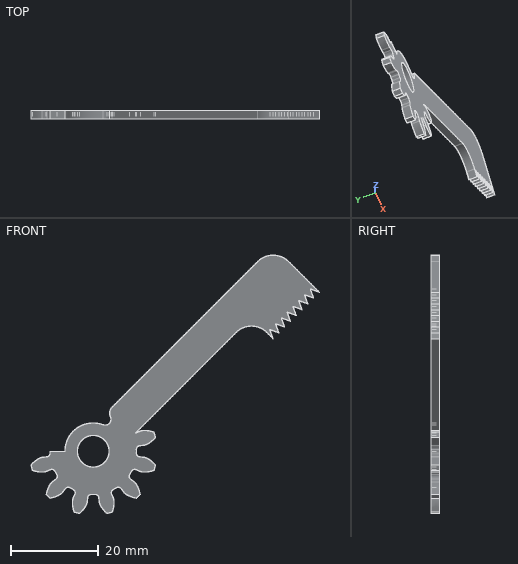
import math

import cadquery as cq

THICKNESS = 2.0
BORE_DIAMETER = 7.2
HUB_RADIUS = 6.5

GEAR_TEETH = 12
SECTOR_TEETH = 7
PITCH_RADIUS = 12.5
PRESSURE_ANGLE = math.radians(20)
MODULE = 2 * PITCH_RADIUS / GEAR_TEETH
TIP_RADIUS = PITCH_RADIUS + MODULE
DEDENDUM_FACTOR = 1.25
ROOT_RADIUS = PITCH_RADIUS - DEDENDUM_FACTOR * MODULE
BASE_RADIUS = PITCH_RADIUS * math.cos(PRESSURE_ANGLE)
ROOT_FILLET = 0.8
TOOTH_PITCH = 2 * math.pi / GEAR_TEETH
SECTOR_START = math.pi
FLANK_STEPS = 5

ARM_ANGLE = math.radians(45)
ARM_WIDTH = 8.0
ARM_TOP = 4.1
ARM_BOTTOM = ARM_TOP - ARM_WIDTH
ARM_START = 8.2
ARM_CORNER_RADIUS = 2.0
NECK_FILLET = 1.3

HEAD_END = 62.27
HEAD_SIZE = 15.0
HEAD_START = HEAD_END - HEAD_SIZE
HEAD_BOTTOM = ARM_TOP - HEAD_SIZE
HEAD_RADIUS = 5.0
NOTCH_COUNT = 8
NOTCH_DEPTH = 2.0
NOTCH_PITCH = HEAD_SIZE / NOTCH_COUNT


def polar(radius, angle):
    """Point at the given radius and angle about the bore."""
    return (radius * math.cos(angle), radius * math.sin(angle))


def on_arm(along, across):
    """Point given along the arm and across it, positive towards the upper edge."""
    cos_a = math.cos(ARM_ANGLE)
    sin_a = math.sin(ARM_ANGLE)
    return (along * cos_a - across * sin_a, along * sin_a + across * cos_a)


def toward(start, end, distance):
    """Point at a distance from start in the direction of end."""
    share = distance / math.dist(start, end)
    return (start[0] + share * (end[0] - start[0]), start[1] + share * (end[1] - start[1]))


def involute(angle):
    """Involute function of a pressure angle."""
    return math.tan(angle) - angle


def tooth_half_angle(radius):
    """Half of the angle that a tooth spans at a radius on its involute flank."""
    pressure = math.acos(min(1.0, BASE_RADIUS / radius))
    return TOOTH_PITCH / 4 + involute(PRESSURE_ANGLE) - involute(pressure)


def add_tooth(outline, middle):
    """Continue a counter-clockwise outline around the tooth centred on an angle."""
    base_half = tooth_half_angle(BASE_RADIUS)
    tip_half = tooth_half_angle(TIP_RADIUS)

    fillet_centre_radius = ROOT_RADIUS + ROOT_FILLET
    fillet_half = base_half + math.asin(ROOT_FILLET / fillet_centre_radius)
    foot_radius = math.sqrt(fillet_centre_radius**2 - ROOT_FILLET**2)

    step = (TIP_RADIUS - BASE_RADIUS) / FLANK_STEPS
    flank_radii = [BASE_RADIUS + step * i for i in range(FLANK_STEPS + 1)]

    def fillet_middle(side):
        centre = polar(fillet_centre_radius, middle + side * fillet_half)
        root_end = polar(ROOT_RADIUS, middle + side * fillet_half)
        foot_end = polar(foot_radius, middle + side * base_half)
        chord_middle = ((root_end[0] + foot_end[0]) / 2, (root_end[1] + foot_end[1]) / 2)
        return toward(centre, chord_middle, ROOT_FILLET)

    def flank(side):
        return [polar(r, middle + side * tooth_half_angle(r)) for r in flank_radii]

    gap_middle = polar(ROOT_RADIUS, middle - (fillet_half + TOOTH_PITCH / 2) / 2)
    outline = outline.threePointArc(gap_middle, polar(ROOT_RADIUS, middle - fillet_half))
    outline = outline.threePointArc(fillet_middle(-1), polar(foot_radius, middle - base_half))
    outline = outline.lineTo(*polar(BASE_RADIUS, middle - base_half))
    outline = outline.spline(flank(-1)[1:], includeCurrent=True)
    outline = outline.threePointArc(polar(TIP_RADIUS, middle), polar(TIP_RADIUS, middle + tip_half))
    outline = outline.spline(flank(1)[-2::-1], includeCurrent=True)
    outline = outline.lineTo(*polar(foot_radius, middle + base_half))
    outline = outline.threePointArc(fillet_middle(1), polar(ROOT_RADIUS, middle + fillet_half))
    gap_middle = polar(ROOT_RADIUS, middle + (fillet_half + TOOTH_PITCH / 2) / 2)
    return outline.threePointArc(gap_middle, polar(ROOT_RADIUS, middle + TOOTH_PITCH / 2))


def plate(outline):
    """Close an outline and give it the plate thickness."""
    return outline.close().extrude(THICKNESS)


def make_gear_sector():
    outline = cq.Workplane("XZ").lineTo(*polar(ROOT_RADIUS, SECTOR_START))
    for i in range(SECTOR_TEETH):
        outline = add_tooth(outline, SECTOR_START + (i + 0.5) * TOOTH_PITCH)
    return plate(outline)


def make_arm():
    """Arm from the hub centre to the serrated head, with its upper corner rounded near the hub."""
    bend = math.cos(math.pi / 4)
    corner_u = ARM_START + ARM_CORNER_RADIUS
    corner_v = ARM_TOP - ARM_CORNER_RADIUS
    top_u = HEAD_END - HEAD_RADIUS
    top_v = ARM_TOP - HEAD_RADIUS
    throat_u = HEAD_START - HEAD_RADIUS
    throat_v = ARM_BOTTOM - HEAD_RADIUS

    outline = cq.Workplane("XZ").lineTo(*on_arm(0, ARM_BOTTOM))
    outline = outline.lineTo(*on_arm(throat_u, ARM_BOTTOM))
    outline = outline.threePointArc(
        on_arm(throat_u + HEAD_RADIUS * bend, throat_v + HEAD_RADIUS * bend),
        on_arm(HEAD_START, throat_v),
    )
    outline = outline.lineTo(*on_arm(HEAD_START, HEAD_BOTTOM))
    for i in range(NOTCH_COUNT):
        notch_start = HEAD_START + i * NOTCH_PITCH
        outline = outline.lineTo(*on_arm(notch_start + NOTCH_PITCH / 2, HEAD_BOTTOM + NOTCH_DEPTH))
        outline = outline.lineTo(*on_arm(notch_start + NOTCH_PITCH, HEAD_BOTTOM))
    outline = outline.lineTo(*on_arm(HEAD_END, top_v))
    outline = outline.threePointArc(
        on_arm(top_u + HEAD_RADIUS * bend, top_v + HEAD_RADIUS * bend),
        on_arm(top_u, ARM_TOP),
    )
    outline = outline.lineTo(*on_arm(corner_u, ARM_TOP))
    outline = outline.threePointArc(
        on_arm(corner_u - ARM_CORNER_RADIUS * bend, corner_v + ARM_CORNER_RADIUS * bend),
        on_arm(ARM_START, corner_v),
    )
    return plate(outline)


def make_neck():
    """Web between the hub and the arm's rounded corner, bounded by a fillet tangent to both."""
    corner = on_arm(ARM_START + ARM_CORNER_RADIUS, ARM_TOP - ARM_CORNER_RADIUS)
    corner_distance = math.hypot(*corner)
    hub_reach = HUB_RADIUS + NECK_FILLET
    corner_reach = ARM_CORNER_RADIUS + NECK_FILLET

    cosine = (hub_reach**2 + corner_distance**2 - corner_reach**2) / (2 * hub_reach * corner_distance)
    centre = polar(hub_reach, math.atan2(corner[1], corner[0]) + math.acos(cosine))
    hub_touch = toward(centre, (0, 0), NECK_FILLET)
    corner_touch = toward(centre, corner, NECK_FILLET)
    chord_middle = ((hub_touch[0] + corner_touch[0]) / 2, (hub_touch[1] + corner_touch[1]) / 2)
    arc_middle = toward(centre, chord_middle, NECK_FILLET)

    outline = cq.Workplane("XZ").lineTo(*corner).lineTo(*corner_touch)
    return plate(outline.threePointArc(arc_middle, hub_touch))


def make_bore():
    return cq.Workplane("XZ").circle(BORE_DIAMETER / 2).extrude(THICKNESS)


hub = cq.Workplane("XZ").circle(HUB_RADIUS).extrude(THICKNESS)
body = hub.union(make_gear_sector()).union(make_arm()).union(make_neck())
result = body.cut(make_bore()).clean()